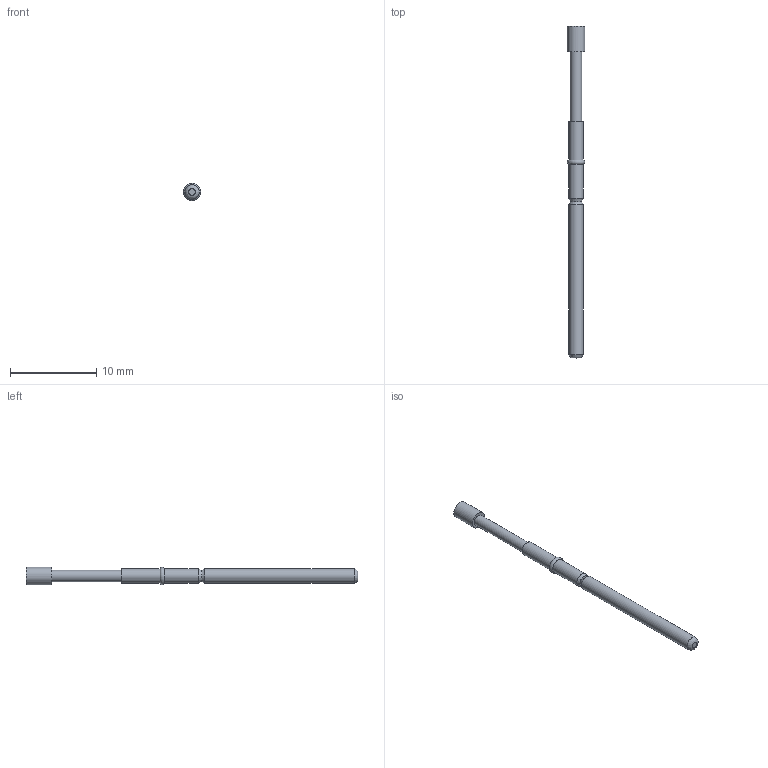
import cadquery as cq

total_length = 38.4

head_diameter = 2.0
head_length = 3.0
plunger_diameter = 1.3
plunger_length = 8.0
barrel_diameter = 1.65
barrel_length = total_length - head_length - plunger_length
tail_round = 0.45

ring_diameter = 2.0
ring_width = 0.5
ring_center = barrel_length - 4.75

groove_width = 0.75
groove_depth = 0.15
groove_center = barrel_length - 9.3


def rod(diameter, start, length):
    """Cylinder on the Y axis running from Y = start towards +Y."""
    plane = cq.Workplane("XZ", origin=(0, start, 0))
    return plane.circle(diameter / 2).extrude(-length)


def make_barrel():
    barrel = rod(barrel_diameter, 0, barrel_length)
    return barrel.faces("<Y").edges().fillet(tail_round)


def revolve_about_axis(section):
    """Turn a section drawn in the XY plane into a full ring about the Y axis."""
    return section.revolve(360, (0, 0, 0), (0, 1, 0))


def make_press_ring():
    """Bead whose outer surface is a single arc across its width."""
    bore_radius = plunger_diameter / 2
    base_radius = barrel_diameter / 2
    section = (
        cq.Workplane("XY")
        .moveTo(bore_radius, ring_center - ring_width / 2)
        .lineTo(base_radius, ring_center - ring_width / 2)
        .threePointArc((ring_diameter / 2, ring_center), (base_radius, ring_center + ring_width / 2))
        .lineTo(bore_radius, ring_center + ring_width / 2)
        .close()
    )
    return revolve_about_axis(section)


def make_crimp_groove():
    """Ring-shaped cutter with a V section pointing at the axis."""
    rim_radius = barrel_diameter / 2
    section = (
        cq.Workplane("XY")
        .moveTo(rim_radius, groove_center - groove_width / 2)
        .lineTo(rim_radius - groove_depth, groove_center)
        .lineTo(rim_radius, groove_center + groove_width / 2)
        .close()
    )
    return revolve_about_axis(section)


def make_plunger():
    shaft = rod(plunger_diameter, barrel_length, plunger_length)
    head = rod(head_diameter, barrel_length + plunger_length, head_length)
    return shaft.union(head)


result = (
    make_barrel()
    .cut(make_crimp_groove())
    .union(make_press_ring())
    .union(make_plunger())
)